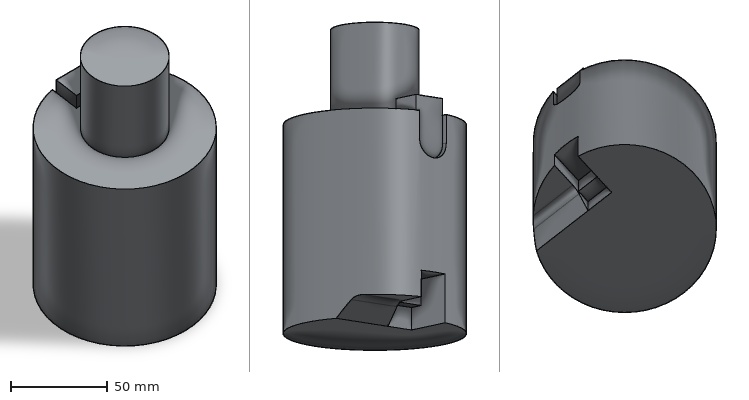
import cadquery as cq

total_height = 160.0
housing_diameter = 95.0
housing_height = 110.0
shaft_diameter = 46.0

key_width = 18.0
key_bottom = 86.0
key_top = 118.9
key_outer_x = -43.7
key_inner_x = -27.7

notch_width = 16.0
notch_height = 25.8
notch_upper_x = key_inner_x
step_height = 11.8

ramp_foot_x = -20.0
ramp_top_x = -29.1
ramp_fillet = 6.4

housing_radius = housing_diameter / 2
outside_x = -housing_diameter


def rounded_key(inner_x, outer_x, top):
    """Upright key shape between two X planes, with a half-round lower end."""
    radius = key_width / 2
    arc_center_z = key_bottom + radius
    return (
        cq.Workplane("YZ", origin=(outer_x, 0, 0))
        .moveTo(-radius, top)
        .lineTo(-radius, arc_center_z)
        .threePointArc((0, key_bottom), (radius, arc_center_z))
        .lineTo(radius, top)
        .close()
        .extrude(inner_x - outer_x)
    )


def notch_cutter(inner_x, height):
    """Block open to the -X side and the underside, centred on Y = 0."""
    length = inner_x - outside_x
    block = cq.Workplane("XY").box(length, notch_width, height, centered=(False, True, False))
    return block.translate((outside_x, 0, 0))


def relief_cutter():
    """Flat ceiling blended into a ramp, running from the notch out through the +Y side."""
    return (
        cq.Workplane("XZ")
        .moveTo(outside_x, 0)
        .lineTo(ramp_foot_x, 0)
        .lineTo(ramp_top_x, step_height)
        .lineTo(outside_x, step_height)
        .close()
        .extrude(-housing_radius)
        .edges("|Y")
        .edges(cq.selectors.NearestToPointSelector((ramp_top_x, housing_radius / 2, step_height)))
        .fillet(ramp_fillet)
    )


def make_housing():
    housing = cq.Workplane("XY").circle(housing_radius).extrude(housing_height)
    housing = housing.cut(rounded_key(key_inner_x, outside_x, key_top))
    housing = housing.cut(notch_cutter(notch_upper_x, notch_height))
    housing = housing.cut(notch_cutter(ramp_foot_x, step_height))
    return housing.cut(relief_cutter())


def make_shaft():
    """Plain shaft standing on the top face of the housing."""
    return (
        cq.Workplane("XY", origin=(0, 0, housing_height))
        .circle(shaft_diameter / 2)
        .extrude(total_height - housing_height)
    )


housing = make_housing()
shaft = make_shaft()
key = rounded_key(key_inner_x, key_outer_x, key_top)

result = cq.Compound.makeCompound([housing.val(), shaft.val(), key.val()])